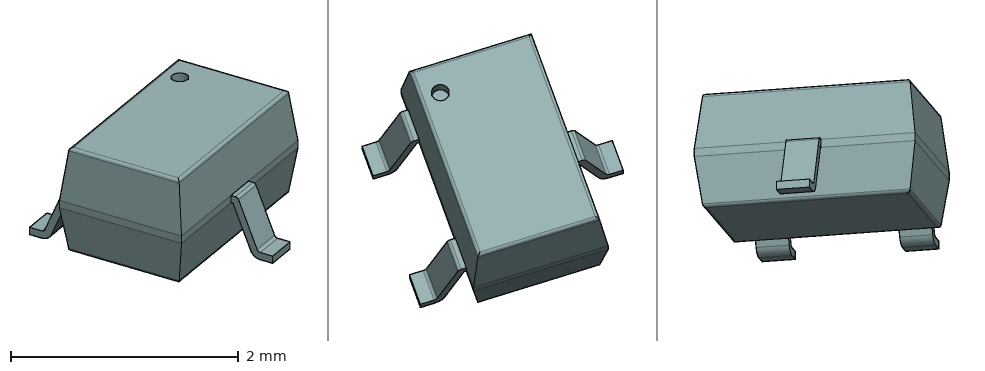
import cadquery as cq

housing_length_x = 1.25
housing_length_y = 2.0
housing_top_z = 1.08
housing_bottom_z = 0.04
taper_inset = 0.063
edge_fillet = 0.032

lead_span = 2.1
lead_thickness = 0.074
lead_width = 0.3
lead_top_z = 0.563
lead_pitch = 1.3
foot_corner_run = 0.15
shoulder_corner_run = 0.357
bend_radius = 0.034

mark_diameter = 0.155
mark_depth = 0.115
mark_x = -0.375
mark_y = lead_pitch / 2

band_top_z = lead_top_z
band_bottom_z = band_top_z - lead_thickness


def tapered_block(band_z, end_z):
    """Block that narrows from the band outline at band_z to the end face at end_z."""
    return (
        cq.Workplane("XY", origin=(0, 0, band_z))
        .rect(housing_length_x, housing_length_y)
        .workplane(offset=end_z - band_z)
        .rect(housing_length_x - 2 * taper_inset, housing_length_y - 2 * taper_inset)
        .loft(ruled=True)
    )


def make_housing():
    """Housing with rounded top and bottom rims and the pin-1 mark."""
    band = (
        cq.Workplane("XY", origin=(0, 0, band_bottom_z))
        .rect(housing_length_x, housing_length_y)
        .extrude(lead_thickness)
    )
    upper = tapered_block(band_top_z, housing_top_z)
    lower = tapered_block(band_bottom_z, housing_bottom_z)
    body = band.union(upper).union(lower)
    body = body.faces(">Z or <Z").edges().fillet(edge_fillet)
    mark = (
        cq.Workplane("XY", origin=(mark_x, mark_y, housing_top_z))
        .circle(mark_diameter / 2)
        .extrude(-mark_depth)
    )
    return body.cut(mark)


def make_lead(center_y):
    """Lead on the -X side, bent from flat strip, ending at the band face."""
    tip_x = -lead_span / 2
    wall_x = -housing_length_x / 2
    foot_corner_x = tip_x + foot_corner_run
    shoulder_corner_x = tip_x + shoulder_corner_run

    slope_run = shoulder_corner_x - foot_corner_x
    slope_rise = lead_top_z - lead_thickness
    slope_length = (slope_run**2 + slope_rise**2) ** 0.5
    corner_shift = lead_thickness * (slope_length - slope_run) / slope_rise

    lead = (
        cq.Workplane("XZ", origin=(0, center_y + lead_width / 2, 0))
        .moveTo(tip_x, 0)
        .lineTo(foot_corner_x + corner_shift, 0)
        .lineTo(shoulder_corner_x + corner_shift, band_bottom_z)
        .lineTo(wall_x, band_bottom_z)
        .lineTo(wall_x, lead_top_z)
        .lineTo(shoulder_corner_x, lead_top_z)
        .lineTo(foot_corner_x, lead_thickness)
        .lineTo(tip_x, lead_thickness)
        .close()
        .extrude(lead_width)
    )

    def corner_edge(x, z):
        return cq.selectors.NearestToPointSelector((x, center_y, z))

    lead = lead.edges(corner_edge(foot_corner_x, lead_thickness)).fillet(bend_radius)
    lead = lead.edges(corner_edge(shoulder_corner_x, lead_top_z)).fillet(bend_radius)
    outer_corner = corner_edge(foot_corner_x + corner_shift, 0)
    return lead.edges(outer_corner).fillet(bend_radius + lead_thickness)


housing = make_housing()

leads = [make_lead(side * lead_pitch / 2) for side in (-1, 1)]
leads.append(make_lead(0).rotate((0, 0, 0), (0, 0, 1), 180))

result = cq.Compound.makeCompound([housing.val(), *[lead.val() for lead in leads]])